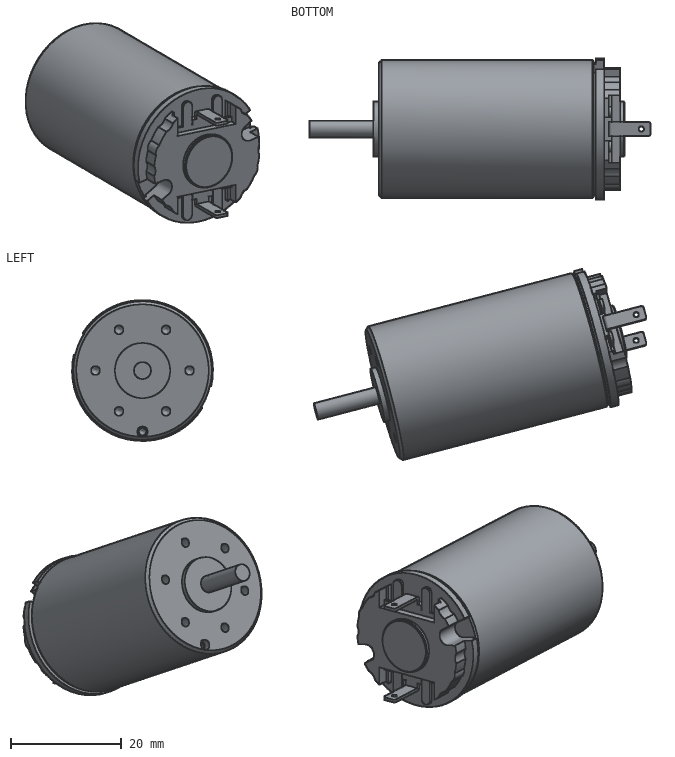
import cadquery as cq
import math

SHAFT_RADIUS = 1.55
PILOT_START = 11.5
PILOT_RADIUS = 5.0

HOUSING_START = 12.5
HOUSING_END = 51.3
HOUSING_RADIUS = 12.5
FRONT_CHAMFER = 0.55
REAR_CHAMFER = 0.3

NECK_RADIUS = 12.0
FLANGE_START = 51.65
FLANGE_END = 53.15
FLANGE_RADIUS = 12.7
HUB_END = 56.0
HUB_RADIUS = 11.1
REAR_BOSS_END = 56.8
REAR_BOSS_CHAMFER = 0.2

BOLT_HOLE_COUNT = 6
BOLT_CIRCLE_RADIUS = 8.5
HOLE_RADIUS = 0.8
HOLE_DEPTH = 3.1
DRILL_CONE_ANGLE = 30
LOCATING_HOLE_OFFSET = 11.0
COUNTERBORE_RADIUS = 0.9
COUNTERBORE_DEPTH = 1.55
LOCATING_HOLE_RADIUS = 0.7

FLUTE_ANGLES = (-45, 0, 45)
FLUTE_RADIUS = 1.85
FLUTE_CENTRE_RADIUS = 12.6
RIB_ANGLE = 20.7
RIB_RADIUS = 1.7
RIB_CENTRE_RADIUS = 9.6
NOTCH_ANGLE = -22.4
NOTCH_HALF_ANGLE = 9.4
NOTCH_ROUND_CENTRE_RADIUS = 9.6

POCKET_WIDTH = 12.2
POCKET_LIP_WIDTH = 11.2
POCKET_FLOOR = 5.85

SHEET_THICKNESS = 0.55
BEND_RADIUS = 0.5
SHEET_START = 54.0
BLADE_END = 61.5
BLADE_WIDTH = 2.6
BLADE_TOP = 9.15
BLADE_CORNER_RADIUS = 0.4
BLADE_HOLE_RADIUS = 0.46
BLADE_HOLE_TO_TIP = 1.65
PLATE_TOP = 6.75
LUG_TOP = 11.4
LUG_RADIUS = 0.9
LUG_OFFSET = 3.15
PEDESTAL_WIDTH = 4.25
PEDESTAL_TOP = 7.7

sheet_end = SHEET_START + SHEET_THICKNESS


def rod(start, end, radius, y=0, z=0):
    """Cylinder along X between two axial positions."""
    return cq.Workplane("YZ", origin=(start, y, z)).circle(radius).extrude(end - start)


def block(start, end, width, bottom, top):
    """Box centred on the XZ plane, between two heights."""
    base = cq.Workplane("XY", origin=(start, 0, bottom))
    return base.box(end - start, width, top - bottom, centered=(False, True, False))


def both_ends(shape):
    """The shape together with its copy half a turn around the motor axis."""
    return shape.union(shape.rotate((0, 0, 0), (1, 0, 0), 180))


def around_axis(radius, degrees):
    """Y and Z of a point at an angle measured from -Y towards +Z."""
    angle = math.radians(degrees)
    return -radius * math.cos(angle), radius * math.sin(angle)


def drilled_hole(y, z, radius):
    """Blind hole from the front face with a conical bottom."""
    straight_end = HOUSING_START + HOLE_DEPTH
    cone_end = straight_end + radius * math.tan(math.radians(DRILL_CONE_ANGLE))
    profile = [(HOUSING_START, 0), (HOUSING_START, radius), (straight_end, radius), (cone_end, 0)]
    hole = cq.Workplane("XY").polyline(profile).close().revolve(360, (0, 0), (1, 0))
    return hole.translate((0, y, z))


def make_housing():
    housing = rod(HOUSING_START, HOUSING_END, HOUSING_RADIUS)
    housing = housing.faces("<X").chamfer(FRONT_CHAMFER)
    housing = housing.faces(">X").chamfer(REAR_CHAMFER)
    for index in range(BOLT_HOLE_COUNT):
        y, z = around_axis(BOLT_CIRCLE_RADIUS, index * 360 / BOLT_HOLE_COUNT)
        housing = housing.cut(drilled_hole(y, z, HOLE_RADIUS))
    counterbore_end = HOUSING_START + COUNTERBORE_DEPTH
    counterbore = rod(HOUSING_START, counterbore_end, COUNTERBORE_RADIUS, z=-LOCATING_HOLE_OFFSET)
    locating_hole = drilled_hole(0, -LOCATING_HOLE_OFFSET, LOCATING_HOLE_RADIUS)
    return housing.cut(counterbore).cut(locating_hole)


def make_flutes():
    flutes = cq.Workplane("YZ", origin=(FLANGE_END, 0, 0))
    centres = [around_axis(FLUTE_CENTRE_RADIUS, angle) for angle in FLUTE_ANGLES]
    return flutes.pushPoints(centres).circle(FLUTE_RADIUS).extrude(HUB_END - FLANGE_END)


def make_notch():
    """Slot through flange and hub with radial walls and a full-round bottom."""
    spread = math.radians(NOTCH_HALF_ANGLE)
    wall_start = NOTCH_ROUND_CENTRE_RADIUS * math.cos(spread)
    wall_end = FLANGE_RADIUS / math.cos(spread)
    bottom = NOTCH_ROUND_CENTRE_RADIUS * (1 - math.sin(spread))
    lower = NOTCH_ANGLE - NOTCH_HALF_ANGLE
    upper = NOTCH_ANGLE + NOTCH_HALF_ANGLE
    return (
        cq.Workplane("YZ", origin=(HOUSING_END, 0, 0))
        .moveTo(*around_axis(wall_end, lower))
        .lineTo(*around_axis(wall_start, lower))
        .threePointArc(around_axis(bottom, NOTCH_ANGLE), around_axis(wall_start, upper))
        .lineTo(*around_axis(wall_end, upper))
        .close()
        .extrude(HUB_END - HOUSING_END)
    )


def make_pocket():
    """Recess in the top of the hub, narrower at the lip beside the flange."""
    lip = block(FLANGE_END, SHEET_START, POCKET_LIP_WIDTH, POCKET_FLOOR, HUB_RADIUS)
    return lip.union(block(SHEET_START, HUB_END, POCKET_WIDTH, POCKET_FLOOR, HUB_RADIUS))


def make_end_cap():
    rib_y, rib_z = around_axis(RIB_CENTRE_RADIUS, RIB_ANGLE)
    hub = rod(FLANGE_END, HUB_END, HUB_RADIUS)
    hub = hub.cut(both_ends(make_flutes()))
    hub = hub.union(both_ends(rod(FLANGE_END, HUB_END, RIB_RADIUS, rib_y, rib_z)))
    hub = hub.cut(both_ends(make_pocket()))
    cap = rod(HOUSING_END, FLANGE_START, NECK_RADIUS)
    cap = cap.union(rod(FLANGE_START, FLANGE_END, FLANGE_RADIUS)).union(hub)
    cap = cap.cut(both_ends(make_notch()))
    boss = rod(HUB_END, REAR_BOSS_END, PILOT_RADIUS).faces(">X").chamfer(REAR_BOSS_CHAMFER)
    return cap.union(boss)


def make_blade():
    """Connector blade along X, bent down into the hub at its inner end."""
    blade = block(SHEET_START, BLADE_END, BLADE_WIDTH, BLADE_TOP - SHEET_THICKNESS, BLADE_TOP)
    blade = blade.edges("|Z and >X").fillet(BLADE_CORNER_RADIUS)
    blade = blade.union(block(SHEET_START, sheet_end, BLADE_WIDTH, PEDESTAL_TOP, BLADE_TOP))
    bend_edge = cq.selectors.NearestToPointSelector((SHEET_START, 0, BLADE_TOP))
    blade = blade.edges(bend_edge).fillet(BEND_RADIUS)
    hole_x = BLADE_END - BLADE_HOLE_TO_TIP
    hole = cq.Workplane("XY").center(hole_x, 0).circle(BLADE_HOLE_RADIUS).extrude(BLADE_TOP)
    return blade.cut(hole)


def make_terminal():
    """Plate with two round-topped lugs, and the blade on its pedestal between them."""
    terminal = block(SHEET_START, sheet_end, POCKET_WIDTH, POCKET_FLOOR, PLATE_TOP)
    lug_centre = LUG_TOP - LUG_RADIUS
    for side in (-1, 1):
        y = side * LUG_OFFSET
        lug = block(SHEET_START, sheet_end, 2 * LUG_RADIUS, PLATE_TOP, lug_centre).translate((0, y, 0))
        lug = lug.union(rod(SHEET_START, sheet_end, LUG_RADIUS, y, lug_centre))
        terminal = terminal.union(lug)
    pedestal = block(FLANGE_END, sheet_end, PEDESTAL_WIDTH, POCKET_FLOOR, PEDESTAL_TOP)
    return terminal.union(pedestal).union(make_blade())


result = (
    rod(0, PILOT_START, SHAFT_RADIUS)
    .union(rod(PILOT_START, HOUSING_START, PILOT_RADIUS))
    .union(make_housing())
    .union(make_end_cap())
    .union(both_ends(make_terminal()))
)